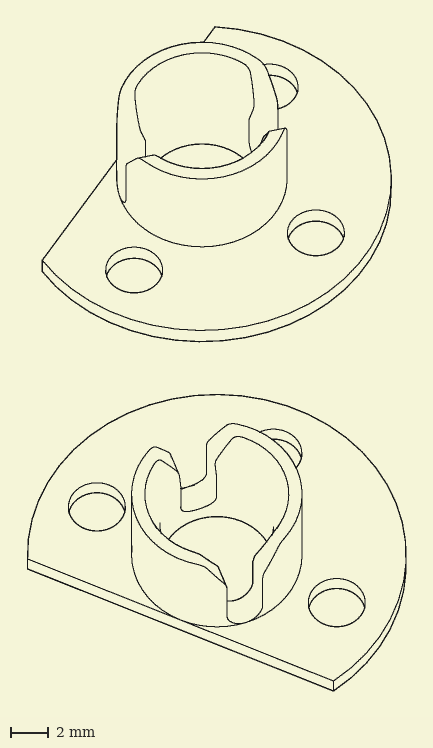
import cadquery as cq
import math

flange_radius = 9.99
flange_thickness = 1.0
mount_hole_diameter = 3.0
mount_hole_offset = 7.0

hub_radius = 4.5
bore_radius = 3.0
total_height = 7.0
funnel_depth = 3.0
funnel_top_radius = 3.8

slot_width = 2.0
slot_angle = 45.0
flare_start_height = 5.0
flare_tilt = math.radians(30.0)
flare_start_fillet = 1.0
flare_top_fillet = 0.6


def make_flange():
    disc = cq.Workplane("XY").circle(flange_radius).extrude(flange_thickness)
    keep_length = hub_radius + flange_radius
    keep = (
        cq.Workplane("XY")
        .box(keep_length, 2 * flange_radius, flange_thickness, centered=(False, True, False))
        .translate((-hub_radius, 0, 0))
    )
    holes = (
        cq.Workplane("XY")
        .pushPoints([(0, mount_hole_offset), (mount_hole_offset, 0), (0, -mount_hole_offset)])
        .circle(mount_hole_diameter / 2)
        .extrude(flange_thickness)
    )
    return disc.intersect(keep).cut(holes)


def make_bore():
    """Revolved cutter: straight bore below, funnel above."""
    return (
        cq.Workplane("XZ")
        .polyline([
            (0, 0),
            (bore_radius, 0),
            (bore_radius, total_height - funnel_depth),
            (funnel_top_radius, total_height),
            (0, total_height),
        ])
        .close()
        .revolve(360, (0, 0, 0), (0, 1, 0))
    )


def make_slot():
    """Cutter for the cross slot, with its edges rounded into the flare and the rim."""
    half_width = slot_width / 2
    tilt_sin = math.sin(flare_tilt)
    tilt_cos = math.cos(flare_tilt)

    lower_tangent = flare_start_fillet * math.tan(flare_tilt / 2)
    wall_end = (half_width, flare_start_height - lower_tangent)
    flare_start = (
        half_width + lower_tangent * tilt_sin,
        flare_start_height + lower_tangent * tilt_cos,
    )
    lower_center_x = half_width + flare_start_fillet
    lower_middle = (
        lower_center_x - flare_start_fillet * math.cos(flare_tilt / 2),
        wall_end[1] + flare_start_fillet * math.sin(flare_tilt / 2),
    )

    rim_turn = math.pi / 2 - flare_tilt
    upper_tangent = flare_top_fillet * math.tan(rim_turn / 2)
    flare_rise = total_height - flare_start_height
    corner_x = half_width + flare_rise * math.tan(flare_tilt)
    flare_end = (corner_x - upper_tangent * tilt_sin, total_height - upper_tangent * tilt_cos)
    rim_point = (corner_x + upper_tangent, total_height)
    upper_middle = (
        rim_point[0] - flare_top_fillet * math.sin(rim_turn / 2),
        total_height - flare_top_fillet * (1 - math.cos(rim_turn / 2)),
    )

    def mirrored(point):
        return (-point[0], point[1])

    bottom_center_height = flange_thickness + half_width
    return (
        cq.Workplane("XZ")
        .moveTo(half_width, bottom_center_height)
        .lineTo(*wall_end)
        .threePointArc(lower_middle, flare_start)
        .lineTo(*flare_end)
        .threePointArc(upper_middle, rim_point)
        .lineTo(*mirrored(rim_point))
        .threePointArc(mirrored(upper_middle), mirrored(flare_end))
        .lineTo(*mirrored(flare_start))
        .threePointArc(mirrored(lower_middle), mirrored(wall_end))
        .lineTo(-half_width, bottom_center_height)
        .threePointArc((0, flange_thickness), (half_width, bottom_center_height))
        .close()
        .extrude(hub_radius, both=True)
        .rotate((0, 0, 0), (0, 0, 1), -slot_angle)
    )


hub = cq.Workplane("XY").circle(hub_radius).extrude(total_height)
result = make_flange().union(hub).cut(make_bore()).cut(make_slot())